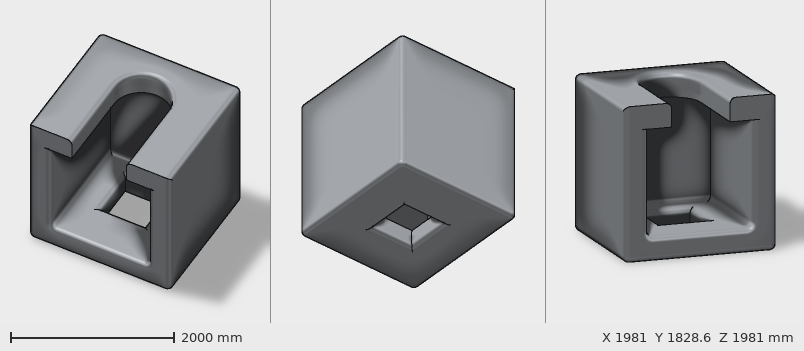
import cadquery as cq

side = 1981.0
module = side / 26

width = side
depth = 24 * module
height = side
edge_radius = module

wall = 4 * module
slot_width = 10 * module
slot_straight = 14 * module
window_side = 8 * module
window_front = 8 * module

cavity_width = width - 2 * wall
cavity_depth = depth - wall
roof_bottom = height - wall


def box_at(size_x, y_start, size_y, z_start, size_z):
    """Box centred on X, starting at the given Y and Z."""
    return (
        cq.Workplane("XY")
        .box(size_x, size_y, size_z, centered=(True, False, False))
        .translate((0, y_start, z_start))
    )


def make_block():
    """Outer block, rounded on every edge except the top front one."""
    block = box_at(width, 0, depth, 0, height)
    top_front = cq.selectors.NearestToPointSelector((0, 0, height))
    everything = cq.selectors.BoxSelector((-width, -depth, -height), (width, 2 * depth, 2 * height))
    rounded_edges = cq.selectors.SubtractSelector(everything, top_front)
    return block.edges(rounded_edges).fillet(edge_radius)


def make_tray(block):
    """Floor and three walls, open at the front and at the top."""
    cavity = box_at(cavity_width, -wall, cavity_depth + wall, wall, height)
    cavity = cavity.edges("(|Y and <Z) or (|X and <Z and >Y)").fillet(edge_radius)
    tray = block.cut(cavity)
    mouth = cq.selectors.NearestToPointSelector((0, 0, wall))
    return tray.edges(mouth).fillet(edge_radius)


def make_roof(block):
    """Top slab with a round-ended slot open to the front."""
    roof = block.intersect(box_at(width, 0, depth, roof_bottom, wall))
    slot_end = (
        cq.Workplane("XY")
        .center(0, slot_straight)
        .circle(slot_width / 2)
        .extrude(height)
    )
    slot = box_at(slot_width, -wall, slot_straight + wall, 0, height).union(slot_end)
    roof = roof.cut(slot)
    slot_rim = cq.selectors.NearestToPointSelector((0, slot_straight + slot_width / 2, height))
    return roof.edges(slot_rim).fillet(edge_radius)


def cut_window(tray):
    """Square opening through the floor, rounded at its upper and lower edges."""
    window = box_at(window_side, window_front, window_side, -wall, 3 * wall)
    tray = tray.cut(window)
    margin = edge_radius / 2
    for rim_height in (0, wall):
        rim = cq.selectors.BoxSelector(
            (-window_side / 2 - margin, window_front - margin, rim_height - margin),
            (window_side / 2 + margin, window_front + window_side + margin, rim_height + margin),
        )
        tray = tray.edges(rim).fillet(edge_radius)
    return tray


block = make_block()
result = cut_window(make_tray(block)).union(make_roof(block))